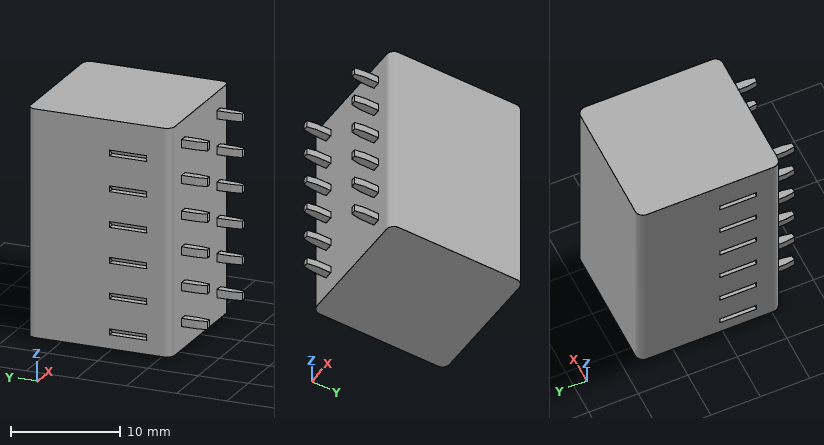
import cadquery as cq

HOUSING_X = 13.5
HOUSING_Y = 14.4
HOUSING_Z = 22.4
CORNER_RADIUS = 0.8

ROWS = 6
ROW_PITCH = 3.5

PIN_COLUMNS_X = (-4.0, 4.2)
PIN_ROWS_CENTRE_Z = 0.25
PIN_SIZE = 0.8
PIN_LENGTH = 2.5
TIP_LENGTH = 1.0
TIP_INSET = 0.15

SLOT_BELOW_PIN = 1.02
SLOT_SETBACK = 2.5
SLOT_LENGTH = 3.7
SLOT_HEIGHT = 0.57
SLOT_DEPTH = 0.7

LEFT_FACE_X = -HOUSING_X / 2
FRONT_FACE_Y = -HOUSING_Y / 2


def row_heights(centre_z):
    """Return the Z of every row, spaced evenly about centre_z."""
    lowest = centre_z - ROW_PITCH * (ROWS - 1) / 2
    return [lowest + ROW_PITCH * row for row in range(ROWS)]


def make_housing():
    block = cq.Workplane("XY").box(HOUSING_X, HOUSING_Y, HOUSING_Z)
    return block.edges("|Z").fillet(CORNER_RADIUS)


def make_pin(x, z):
    """Return a pin centred at x and z, rooted on the front face."""
    minus_x = x - PIN_SIZE / 2
    plus_x = x + PIN_SIZE / 2
    tip_y = FRONT_FACE_Y - PIN_LENGTH
    taper_y = tip_y + TIP_LENGTH
    outline = [
        (minus_x, FRONT_FACE_Y),
        (minus_x, taper_y),
        (minus_x + TIP_INSET, tip_y),
        (plus_x - TIP_INSET, tip_y),
        (plus_x, taper_y),
        (plus_x, FRONT_FACE_Y),
    ]
    plane = cq.Workplane("XY", origin=(0, 0, z - PIN_SIZE / 2))
    return plane.polyline(outline).close().extrude(PIN_SIZE)


def make_slot(z):
    """Return the wedge to cut from the left face, with its mouth centred at z."""
    floor_z = z - SLOT_HEIGHT / 2
    profile = [
        (LEFT_FACE_X, floor_z),
        (LEFT_FACE_X, floor_z + SLOT_HEIGHT),
        (LEFT_FACE_X + SLOT_DEPTH, floor_z),
    ]
    plane = cq.Workplane("XZ", origin=(0, FRONT_FACE_Y + SLOT_SETBACK, 0))
    return plane.polyline(profile).close().extrude(-SLOT_LENGTH)


result = make_housing()
for pin_z in row_heights(PIN_ROWS_CENTRE_Z):
    for pin_x in PIN_COLUMNS_X:
        result = result.union(make_pin(pin_x, pin_z))
for slot_z in row_heights(PIN_ROWS_CENTRE_Z - SLOT_BELOW_PIN):
    result = result.cut(make_slot(slot_z))